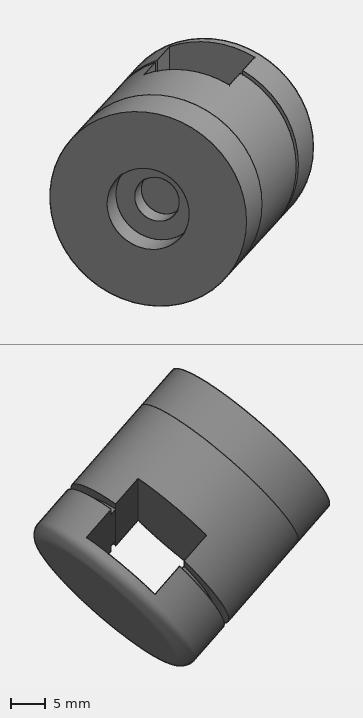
import cadquery as cq

outer_diameter = 30.0
total_length = 32.0

base_length = 7.0
counterbore_diameter = 12.5
counterbore_depth = 4.0
bolt_hole_diameter = 6.8

cap_length = 8.5
cap_edge_radius = 2.0
neck_diameter = 24.2
neck_length = 1.0

window_width = 13.0
window_length = 11.5
cap_wall = 3.0

front_y = -total_length / 2
back_y = total_length / 2
base_back_y = front_y + base_length
cap_front_y = back_y - cap_length
housing_back_y = cap_front_y - neck_length
window_center_y = back_y - cap_wall - window_length / 2


def disc(diameter, start_y, end_y):
    """Solid cylinder on the Y axis between two stations."""
    plane = cq.Plane(origin=(0, start_y, 0), xDir=(1, 0, 0), normal=(0, 1, 0))
    return cq.Workplane(plane).circle(diameter / 2).extrude(end_y - start_y)


def make_window():
    """Cutter for the through window, as tall as the outer diameter."""
    window = cq.Workplane("XY").box(window_width, window_length, outer_diameter)
    return window.translate((0, window_center_y, 0))


def make_base():
    """Disc with a counterbored bolt hole that is open at the front."""
    counterbore = disc(counterbore_diameter, front_y, front_y + counterbore_depth)
    bolt_hole = disc(bolt_hole_diameter, front_y, base_back_y)
    return disc(outer_diameter, front_y, base_back_y).cut(counterbore).cut(bolt_hole)


def make_housing():
    """Cylinder with a slot across its back end, the front part of the window."""
    return disc(outer_diameter, base_back_y, housing_back_y).cut(make_window())


def make_cap():
    """Round-edged disc on a neck, both cut by the back part of the window."""
    head = disc(outer_diameter, cap_front_y, back_y).faces(">Y").edges().fillet(cap_edge_radius)
    neck = disc(neck_diameter, housing_back_y, cap_front_y)
    return head.union(neck).cut(make_window())


base = make_base().solids()
housing = make_housing().solids()
cap = make_cap().solids()

result = cq.Compound.makeCompound([base.val(), housing.val(), cap.val()])